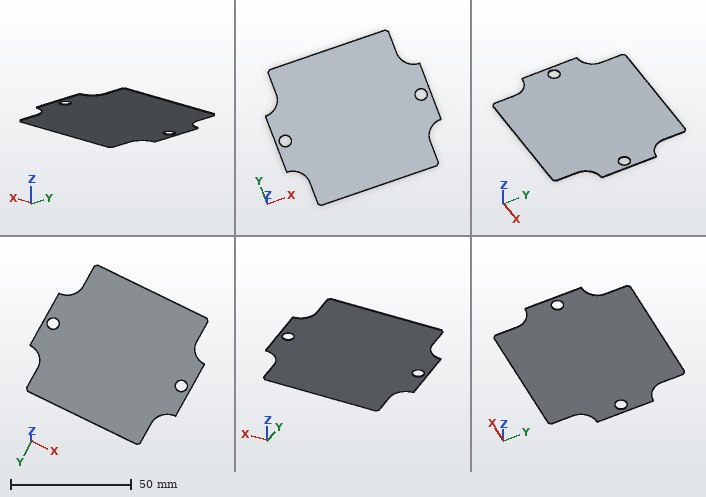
import cadquery as cq

length = 68.0
width = 63.0
thickness = 0.5

body_length = 53.05
tab_width = 26.0
notch_radius = (length - body_length) / 2
corner_chamfer = 1.0

hole_diameter = 5.0
hole_spacing = 59.85


def plate_blank():
    """Central body with chamfered corners."""
    body = cq.Workplane("XY").box(body_length, width, thickness)
    return body.edges("|Z").chamfer(corner_chamfer)


def tab_band():
    """Full-length band whose four corners are scooped by the notch arcs."""
    band_width = tab_width + 2 * notch_radius
    band = cq.Workplane("XY").box(length, band_width, thickness)
    notches = (
        cq.Workplane("XY")
        .rect(length, band_width, forConstruction=True)
        .vertices()
        .circle(notch_radius)
        .extrude(thickness, both=True)
    )
    return band.cut(notches)


def mounting_holes():
    return (
        cq.Workplane("XY")
        .pushPoints([(-hole_spacing / 2, 0), (hole_spacing / 2, 0)])
        .circle(hole_diameter / 2)
        .extrude(thickness, both=True)
    )


result = plate_blank().union(tab_band()).cut(mounting_holes()).clean()